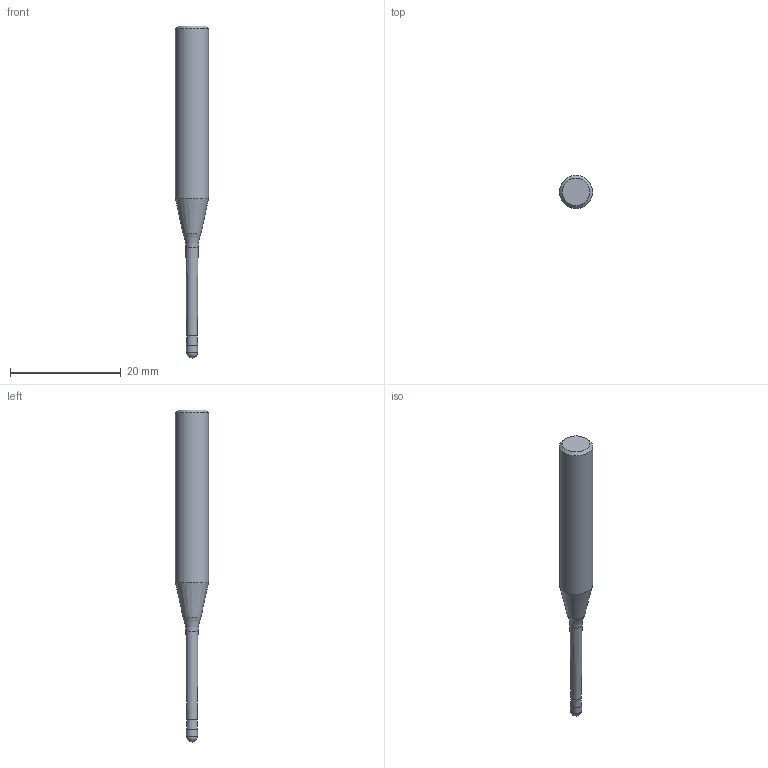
import cadquery as cq
import math


overall_length = 60.0
cutting_length = 2.3
relief_end = 4.0
neck_end = 20.0
blend_end = 22.45
shank_start = 28.85

ball_radius = 1.0
neck_lower_radius = 0.97
neck_upper_radius = 1.1
shank_radius = 3.0

blend_radius = 6.0

chamfer_size = 0.5


def blend_point(height):
    """Point on the concave blend, at a height above the start of the blend."""
    offset = blend_radius - math.sqrt(blend_radius**2 - height**2)
    return (neck_upper_radius + offset, neck_end + height)


def make_cutting_head():
    """Half-ball tip carrying a short cylinder."""
    ball_middle = ball_radius * math.sqrt(0.5)
    profile = (
        cq.Workplane("XZ")
        .moveTo(0, 0)
        .threePointArc((ball_middle, ball_radius - ball_middle), (ball_radius, ball_radius))
        .lineTo(ball_radius, cutting_length)
        .lineTo(0, cutting_length)
        .close()
    )
    return profile.revolve(360, (0, 0, 0), (0, 1, 0))


def make_shank():
    """Relieved neck, concave blend, cone and chamfered cylindrical shank."""
    blend_height = blend_end - neck_end
    profile = (
        cq.Workplane("XZ")
        .moveTo(0, cutting_length)
        .lineTo(ball_radius, cutting_length)
        .lineTo(neck_lower_radius, relief_end)
        .lineTo(neck_upper_radius, neck_end)
        .threePointArc(blend_point(blend_height / 2), blend_point(blend_height))
        .lineTo(shank_radius, shank_start)
        .lineTo(shank_radius, overall_length - chamfer_size)
        .lineTo(shank_radius - chamfer_size, overall_length)
        .lineTo(0, overall_length)
        .close()
    )
    return profile.revolve(360, (0, 0, 0), (0, 1, 0))


cutting_head = make_cutting_head()
shank = make_shank()

result = cq.Compound.makeCompound([cutting_head.val(), shank.val()])